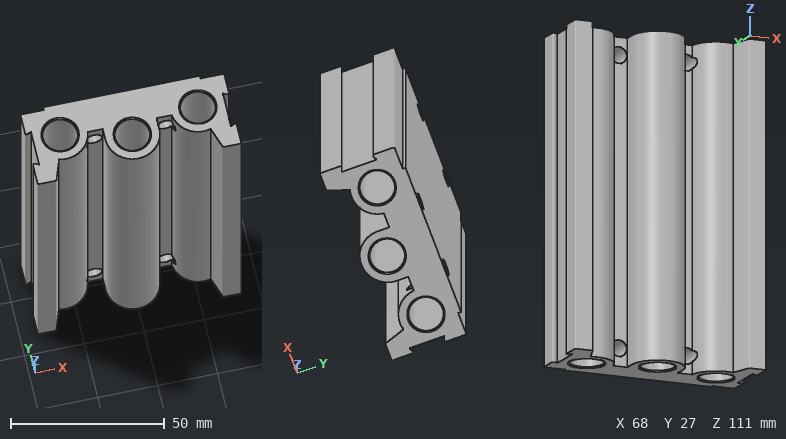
import cadquery as cq
import math

width = 68.0
depth = 27.0
length = 111.0

half_width = width / 2
back = depth / 2
front = -depth / 2
edge_radius = 0.5

pad_half_width = 26.2
pad_height = 1.0
shoulder = back - pad_height

wall_radius = 9.0
side_channel_x = 23.0
side_channel_y = back - 11.0
middle_channel_y = back - 16.0
bore_diameter = 11.4
bore_chamfer = 0.4

web_front = back - 12.0
mount_hole_diameter = 5.5
mount_hole_x = 12.0
mount_hole_inset = 6.1

foot_width = 6.2
foot_inner_x = half_width - foot_width
flank_top_x = 25.3

groove_depth = 2.0
groove_center_y = back - 14.0
groove_mouth = 10.3
groove_floor = 12.1


def box_between(x_start, x_end, y_start, y_end):
    """Full-length bar spanning the given X and Y limits."""
    return cq.Workplane("XY").box(x_end - x_start, y_end - y_start, length, centered=False).translate(
        (x_start, y_start, -length / 2)
    )


def full_length(outline):
    """Extrude a closed XY outline over the whole length, centred on Z = 0."""
    return outline.extrude(length).translate((0, 0, -length / 2))


def channel_wall(x, y):
    """Solid round bar that later becomes the wall around a channel."""
    return full_length(cq.Workplane("XY").center(x, y).circle(wall_radius))


def side_column(side):
    """Outer column with its foot; side is -1 for left and +1 for right."""
    flank_top_y = side_channel_y - math.sqrt(wall_radius**2 - (flank_top_x - side_channel_x) ** 2)
    points = [
        (side_channel_x, shoulder),
        (half_width, shoulder),
        (half_width, front),
        (foot_inner_x, front),
        (flank_top_x, flank_top_y),
        (side_channel_x, side_channel_y),
    ]
    return full_length(cq.Workplane("XY").polyline([(side * x, y) for x, y in points]).close())


def side_groove(side):
    """Groove that widens inward from its mouth to a flat floor."""
    floor_x = half_width - groove_depth
    half_mouth = groove_mouth / 2
    half_floor = groove_floor / 2
    section = [
        (half_width, half_mouth),
        (floor_x, half_floor),
        (floor_x, -half_floor),
        (half_width, -half_mouth),
    ]
    points = [(side * x, groove_center_y + y) for x, y in section]
    return full_length(cq.Workplane("XY").polyline(points).close())


def round_long_edge(solid, x, y):
    """Round the full-length edge that runs along Z at (x, y)."""
    reach = edge_radius / 2
    selector = cq.selectors.BoxSelector((x - reach, y - reach, -reach), (x + reach, y + reach, reach))
    return solid.edges("|Z").edges(selector).fillet(edge_radius)


def channel(x, y):
    """Through bore with a chamfer at both ends."""
    bore_radius = bore_diameter / 2
    mouth_radius = bore_radius + bore_chamfer
    half_length = length / 2
    half_section = [
        (0, -half_length),
        (mouth_radius, -half_length),
        (bore_radius, -half_length + bore_chamfer),
        (bore_radius, half_length - bore_chamfer),
        (mouth_radius, half_length),
        (0, half_length),
    ]
    cutter = cq.Workplane("XZ").polyline(half_section).close().revolve(360, (0, 0, 0), (0, 1, 0))
    return cutter.translate((x, y, 0))


body = box_between(-pad_half_width, pad_half_width, web_front, back)
body = body.union(box_between(-wall_radius, wall_radius, middle_channel_y, web_front))
body = body.union(channel_wall(0, middle_channel_y))

for side in (-1, 1):
    body = body.union(channel_wall(side * side_channel_x, side_channel_y))
    body = body.union(side_column(side))
    body = body.cut(side_groove(side))

rounded_corners = [
    (half_width, shoulder),
    (half_width, groove_center_y + groove_mouth / 2),
    (half_width, groove_center_y - groove_mouth / 2),
    (half_width, front),
    (foot_inner_x, front),
]
for side in (-1, 1):
    for x, y in rounded_corners:
        body = round_long_edge(body, side * x, y)

channel_centers = [
    (-side_channel_x, side_channel_y),
    (0, middle_channel_y),
    (side_channel_x, side_channel_y),
]
for x, y in channel_centers:
    body = body.cut(channel(x, y))

mount_hole_z = length / 2 - mount_hole_inset
mount_holes = (
    cq.Workplane("XZ")
    .rect(2 * mount_hole_x, 2 * mount_hole_z, forConstruction=True)
    .vertices()
    .circle(mount_hole_diameter / 2)
    .extrude(depth, both=True)
)
result = body.cut(mount_holes)